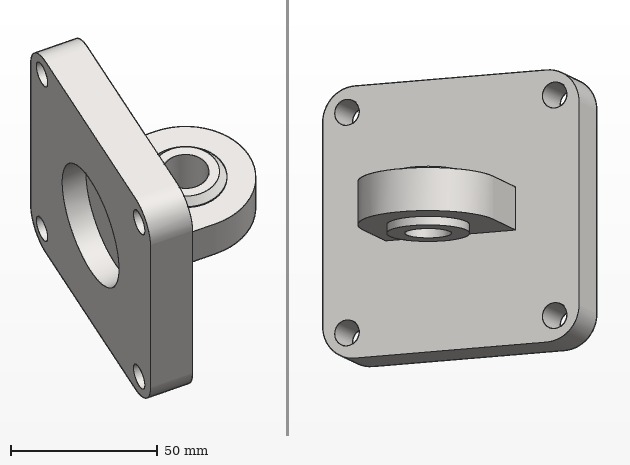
import cadquery as cq

plate_side = 95.0
plate_thickness = 16.0
plate_corner_radius = 12.0
bolt_hole_diameter = 9.0
bolt_hole_spacing = 76.95
recess_diameter = 45.0
recess_depth = 9.0

lug_width = 48.1
lug_radius = lug_width / 2
lug_thickness = 15.0
eye_distance = 20.0
eye_y = plate_thickness + eye_distance

bushing_diameter = 28.3
bushing_bore = 16.0
bushing_length = 21.0
bushing_chamfer = 2.6


def make_plate():
    """Rounded square plate with four bolt holes and a blind front recess."""
    plate = (
        cq.Workplane("XY")
        .box(plate_side, plate_thickness, plate_side, centered=(True, False, True))
        .edges("|Y")
        .fillet(plate_corner_radius)
    )
    bolt_holes = (
        cq.Workplane("XZ")
        .rect(bolt_hole_spacing, bolt_hole_spacing, forConstruction=True)
        .vertices()
        .circle(bolt_hole_diameter / 2)
        .extrude(-plate_thickness)
    )
    recess = cq.Workplane("XZ").circle(recess_diameter / 2).extrude(-recess_depth)
    return plate.cut(bolt_holes).cut(recess)


def make_lug():
    """Flat lug with a semicircular end and a seat for the bushing."""
    lug = (
        cq.Workplane("XY", origin=(0, 0, -lug_thickness / 2))
        .moveTo(-lug_radius, plate_thickness)
        .lineTo(-lug_radius, eye_y)
        .threePointArc((0, eye_y + lug_radius), (lug_radius, eye_y))
        .lineTo(lug_radius, plate_thickness)
        .close()
        .extrude(lug_thickness)
    )
    seat = (
        cq.Workplane("XY", origin=(0, eye_y, -lug_thickness / 2))
        .circle(bushing_diameter / 2)
        .extrude(lug_thickness)
    )
    return lug.cut(seat)


def make_bracket():
    """Plate and lug as one solid."""
    return make_plate().union(make_lug())


def make_bushing():
    """Bored sleeve with its upper outer edge chamfered."""
    sleeve = (
        cq.Workplane("XY", origin=(0, eye_y, -bushing_length / 2))
        .circle(bushing_diameter / 2)
        .extrude(bushing_length)
        .faces(">Z")
        .chamfer(bushing_chamfer)
    )
    return sleeve.faces("<Z").workplane(centerOption="CenterOfMass").hole(bushing_bore)


bracket = make_bracket()
bushing = make_bushing()
result = cq.Compound.makeCompound([bracket.solids().val(), bushing.solids().val()])